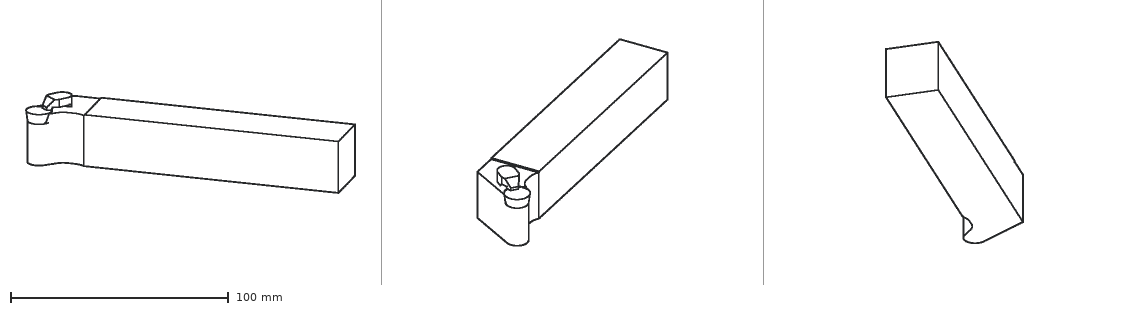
import cadquery as cq
import math

shank_end_x = 144.0
shank_size = 25.0
back_y = 25.5
front_y = back_y - shank_size
clamp_top_z = 30.0

insert_radius = 6.0
insert_height = 5.0
insert_relief_angle = math.radians(7)
insert_top_z = shank_size
insert_floor_z = insert_top_z - insert_height
insert_base_radius = insert_radius - insert_height * math.tan(insert_relief_angle)

head_drop = 0.5
head_top_z = shank_size - head_drop
head_end_x = 21.5
back_flank_angle = math.radians(60)
front_flank_angle = math.radians(42)
relief_y = 2.2
relief_start_x = 7.4
relief_flat_start_x = 13.2
relief_exit_radius = 8.2
relief_flat_end_x = 16.0

clamp_angle = 51.0
clamp_half_width = 4.4
clamp_round_center = 12.8
clamp_taper_start = 8.2
clamp_tip = 3.0
clamp_tip_half_width = 1.8
clamp_tip_top_z = 26.4
ramp_start = 6.3
clamp_ramp_half_width = 3.5
arch_top_z = 26.2
arch_start = 5.5
arch_foot_start = 5.0
arch_rear_top_y = 9.2
arch_rear_bottom_y = 10.2


def make_insert():
    """Tapered disc with its larger face upward."""
    return (
        cq.Workplane("XY", origin=(0, 0, insert_floor_z))
        .circle(insert_base_radius)
        .workplane(offset=insert_height)
        .circle(insert_radius)
        .loft()
    )


def make_head():
    """Angled head whose round nose is tangent to both flanks."""
    nose = insert_base_radius
    back_tangent = (-nose * math.sin(back_flank_angle), nose * math.cos(back_flank_angle))
    front_tangent = (nose * math.sin(front_flank_angle), -nose * math.cos(front_flank_angle))
    middle_angle = math.pi + (back_flank_angle + front_flank_angle) / 2
    nose_middle = (nose * math.cos(middle_angle), nose * math.sin(middle_angle))
    back_corner_x = back_tangent[0] + (back_y - back_tangent[1]) / math.tan(back_flank_angle)

    relief_start_y = front_tangent[1] + (relief_start_x - front_tangent[0]) * math.tan(front_flank_angle)
    entry_run = relief_flat_start_x - relief_start_x
    entry_rise = relief_y - relief_start_y
    entry_radius = (entry_run**2 + entry_rise**2) / (2 * entry_rise)

    outline = (
        cq.Workplane("XY")
        .moveTo(*back_tangent)
        .threePointArc(nose_middle, front_tangent)
        .lineTo(relief_start_x, relief_start_y)
        .radiusArc((relief_flat_start_x, relief_y), entry_radius)
        .lineTo(relief_flat_end_x, relief_y)
        .radiusArc((head_end_x, front_y), relief_exit_radius)
        .lineTo(head_end_x, back_y)
        .lineTo(back_corner_x, back_y)
        .close()
    )
    return outline.extrude(head_top_z)


def make_shank():
    """Square bar with a small bevel down to the head."""
    profile = [
        (head_end_x, 0),
        (shank_end_x, 0),
        (shank_end_x, shank_size),
        (head_end_x + head_drop, shank_size),
        (head_end_x, head_top_z),
    ]
    return (
        cq.Workplane("XZ", origin=(0, back_y, 0))
        .polyline(profile)
        .close()
        .extrude(shank_size)
    )


def make_clamp():
    """Finger with a round rear end, curved flanks, a front ramp and an arched underside."""
    finger = (
        cq.Workplane("XY", origin=(0, 0, head_top_z))
        .moveTo(clamp_tip, -clamp_tip_half_width)
        .threePointArc(
            (ramp_start, -clamp_ramp_half_width), (clamp_taper_start, -clamp_half_width)
        )
        .lineTo(clamp_round_center, -clamp_half_width)
        .threePointArc(
            (clamp_round_center + clamp_half_width, 0), (clamp_round_center, clamp_half_width)
        )
        .lineTo(clamp_taper_start, clamp_half_width)
        .threePointArc(
            (ramp_start, clamp_ramp_half_width), (clamp_tip, clamp_tip_half_width)
        )
        .close()
        .extrude(clamp_top_z - head_top_z)
    )
    ramp = (
        cq.Workplane("XZ")
        .polyline([(clamp_tip, clamp_tip_top_z), (ramp_start, clamp_top_z), (clamp_tip, clamp_top_z)])
        .close()
        .extrude(clamp_half_width, both=True)
    )
    clamp_rear = clamp_round_center + clamp_half_width
    behind_foot = (
        cq.Workplane("XZ")
        .polyline([
            (arch_foot_start, head_top_z),
            (arch_start, arch_top_z),
            (clamp_rear, arch_top_z),
            (clamp_rear, head_top_z),
        ])
        .close()
        .extrude(clamp_half_width, both=True)
        .rotate((0, 0, 0), (0, 0, 1), clamp_angle)
    )
    before_pillar = (
        cq.Workplane("YZ")
        .polyline([
            (0, head_top_z),
            (0, arch_top_z),
            (arch_rear_top_y, arch_top_z),
            (arch_rear_bottom_y, head_top_z),
        ])
        .close()
        .extrude(clamp_rear, both=True)
    )
    arch = behind_foot.intersect(before_pillar)
    return finger.cut(ramp).rotate((0, 0, 0), (0, 0, 1), clamp_angle).cut(arch)


insert = make_insert()
holder = make_head().union(make_shank()).union(make_clamp()).cut(insert)

result = cq.Compound.makeCompound([holder.val(), insert.val()])